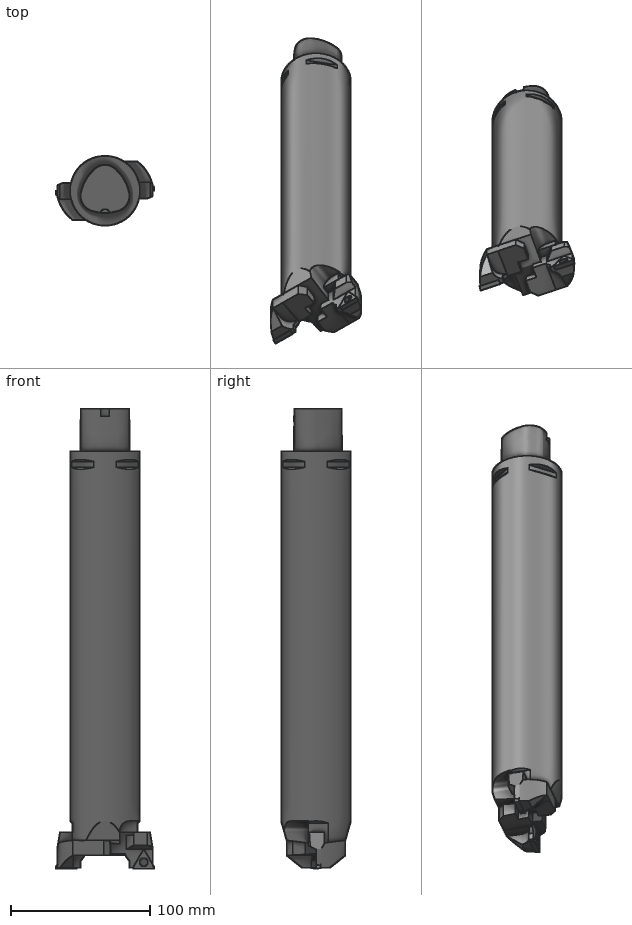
import cadquery as cq
import math

total_height = 330.0
overall_width = 71.0
shank_dia = 50.0
shoulder_z = 299.5
neck_top_z = 34.3
far = 66.0

flat_distance = 16.0
lobe_distance = 18.5
lobe_radius = 11.2
coupling_taper = 0.5
key_radius = 3.3
key_depth = 5.3
key_center_y = -16.5

groove_z = 290.0
groove_mouth = 7.0
groove_floor = 4.0
groove_depth = 2.5

joint_edge_z = 20.5
joint_middle_z = 17.8
relief_edge_y = 21.0

pocket_wall_x = 10.5
pocket_radius = 7.5
block_front_y = -5.5
block_back_y = 6.0
block_top_z = 26.5
seat_flat_x = 23.5
seat_back_y = 9.5

slide_edge_y = relief_edge_y
bar_edge_z = 9.5
bar_middle_z = 11.0
tongue_end_x = -3.5
tongue_front_y = 7.5
tongue_chamfer = 4.5
bar_end_x = 4.3
outer_corner_x = 23.0
outer_mid = (29.7, 14.2)
outer_end_x = 34.3
outer_end_y = 3.5
lip_bottom_z = 0.5
lip_inner_x = 17.5
lip_chamfer_x = 14.5
lip_chamfer_z = 5.5
lip_slope_y = 10.0
scoop_radius = 8.5
scoop_center = (14.2, 11.2)

block_inner_x = 20.5
block_foot_x = 15.2
block_front_z = 16.8
block_foot_z = 14.0
block_shelf_z = 24.0
block_top_end_x = 32.5
block_taper_z = 14.2
block_corner_x = 30.5
block_corner_y = 1.5

insert_side = 16.5
insert_nose = 0.8
insert_thickness = 3.3
insert_clearance = 7.0
insert_hole_dia = 6.0
insert_tip_x = overall_width / 2


def box(x0, x1, y0, y1, z0, z1):
    """Box between two opposite corners."""
    return cq.Workplane("XY").box(x1 - x0, y1 - y0, z1 - z0, centered=False).translate((x0, y0, z0))


def prism_along_y(points, y0, y1):
    """Prism with an XZ outline, running from y0 to y1."""
    return cq.Workplane("XZ", origin=(0, y1, 0)).polyline(points).close().extrude(y1 - y0)


def prism_along_x(points, x0, x1):
    """Prism with a YZ outline, running from x0 to x1."""
    return cq.Workplane("YZ", origin=(x0, 0, 0)).polyline(points).close().extrude(x1 - x0)


def half_turn(shape):
    return shape.rotate((0, 0, 0), (0, 0, 1), 180)


def polar(radius, degrees):
    angle = math.radians(degrees)
    return (radius * math.cos(angle), radius * math.sin(angle))


def coupling():
    """Rounded triangle of three broad and three tight arcs, all tangent."""
    lobe_offset = lobe_distance - lobe_radius
    reach = flat_distance - lobe_offset / 2
    half_span = lobe_offset * math.cos(math.radians(30))
    broad_radius = (half_span**2 + reach**2 - lobe_radius**2) / (2 * (reach - lobe_radius))
    half_angle = math.asin(half_span / (broad_radius - lobe_radius))
    seam_x = broad_radius * math.sin(half_angle)
    seam_y = broad_radius - flat_distance - broad_radius * math.cos(half_angle)
    seam_distance = math.hypot(seam_x, seam_y)
    seam_angle = math.degrees(math.atan2(seam_x, -seam_y))

    outline = cq.Workplane("XY", origin=(0, 0, total_height)).moveTo(*polar(seam_distance, -90 - seam_angle))
    for flat_angle in (-90, 30, 150):
        flat_end = polar(seam_distance, flat_angle + seam_angle)
        lobe_end = polar(seam_distance, flat_angle + 120 - seam_angle)
        outline = outline.threePointArc(polar(flat_distance, flat_angle), flat_end)
        outline = outline.threePointArc(polar(lobe_distance, flat_angle + 60), lobe_end)
    body = outline.close().extrude(shoulder_z - total_height, taper=-coupling_taper)

    key_slot = (
        cq.Workplane("XY", origin=(0, key_center_y, total_height - key_depth)).circle(key_radius).extrude(far)
    )
    return body.cut(key_slot)


def gripper_groove(angle):
    """Straight groove with sloping sides, cut across the shank at the given angle."""
    mouth_x = shank_dia / 2
    floor_x = mouth_x - groove_depth
    points = [
        (floor_x, groove_z - groove_floor / 2),
        (mouth_x, groove_z - groove_mouth / 2),
        (mouth_x, groove_z + groove_mouth / 2),
        (floor_x, groove_z + groove_floor / 2),
    ]
    return prism_along_y(points, -mouth_x, mouth_x).rotate((0, 0, 0), (0, 0, 1), angle)


def slide_seat():
    """Chip pocket, slot for the block and side flat for the slide on the +X side."""
    radius = shank_dia / 2
    chip_pocket = box(pocket_wall_x, far, -far, block_front_y, 0, neck_top_z)
    chip_pocket = chip_pocket.edges("|Y and <X and >Z").fillet(pocket_radius)
    block_slot = box(pocket_wall_x, far, block_front_y, block_back_y, 0, block_top_z)
    flat_depth = radius - seat_flat_x
    flat_outline = [
        (seat_flat_x, 0),
        (far, 0),
        (far, neck_top_z),
        (radius, neck_top_z),
        (seat_flat_x, neck_top_z - flat_depth),
    ]
    seat_flat = prism_along_y(flat_outline, block_front_y, seat_back_y)
    return chip_pocket.union(block_slot).union(seat_flat)


def neck_relief():
    """Sloping flat that thins the -Y side of the neck down to the slides."""
    radius = shank_dia / 2
    outline = [
        (-radius, neck_top_z),
        (-relief_edge_y, joint_edge_z),
        (-radius, joint_edge_z),
    ]
    return prism_along_x(outline, -radius, radius)


def make_shank():
    radius = shank_dia / 2
    slope = (joint_edge_z - joint_middle_z) / relief_edge_y
    rim_z = joint_middle_z + slope * radius
    outline = [
        (-radius, rim_z),
        (0, joint_middle_z),
        (radius, rim_z),
        (radius, shoulder_z),
        (-radius, shoulder_z),
    ]
    bar = cq.Workplane("XY").circle(radius).extrude(shoulder_z)
    bar = bar.intersect(prism_along_x(outline, -radius, radius))
    for cut in (slide_seat(), neck_relief()):
        bar = bar.cut(cut).cut(half_turn(cut))
    for angle in (45, 135, 225, 315):
        bar = bar.cut(gripper_groove(angle))
    return bar.union(coupling())


def insert_center():
    """X and Z of the hole, placed so that the outer corner and the lower edge meet the tip."""
    inradius = insert_side / (2 * math.sqrt(3))
    corner_loss = insert_nose * (math.sqrt(3) - 1)
    return (insert_tip_x - insert_side / 2 + corner_loss, inradius)


def insert_blank():
    """Triangle with rounded corners and one edge at z = 0, narrowing away from its face at y = 0."""
    center_x, inradius = insert_center()
    corners = [
        (center_x - insert_side / 2, 0),
        (center_x + insert_side / 2, 0),
        (center_x, 3 * inradius),
    ]
    outline = cq.Sketch().polygon(corners + corners[:1]).vertices().fillet(insert_nose)
    return cq.Workplane("XZ").placeSketch(outline).extrude(-insert_thickness, taper=insert_clearance)


def make_insert():
    center_x, center_z = insert_center()
    face_center = cq.Workplane("XZ", origin=(center_x, 0, center_z))
    hole = face_center.circle(insert_hole_dia / 2).extrude(-insert_thickness)
    return insert_blank().cut(hole)


def slide_plan(inner_end):
    """Upright prism on the slide's plan: the given inner end, then the curved outer end."""
    return (
        cq.Workplane("XY")
        .polyline(inner_end)
        .lineTo(outer_corner_x, slide_edge_y)
        .threePointArc(outer_mid, (outer_end_x, outer_end_y))
        .lineTo(outer_end_x, 0)
        .close()
        .extrude(block_top_z)
    )


def slide_bar():
    """Bar under the shank, whose top and bottom draw closer towards the middle plane."""
    profile = [
        (0, bar_middle_z),
        (slide_edge_y, bar_edge_z),
        (slide_edge_y, joint_edge_z),
        (0, joint_middle_z),
    ]
    tongue_start_y = slide_edge_y - tongue_chamfer
    inner_end = [
        (bar_end_x, 0),
        (bar_end_x, tongue_front_y),
        (tongue_end_x, tongue_front_y),
        (tongue_end_x, tongue_start_y),
        (tongue_end_x + tongue_chamfer, slide_edge_y),
    ]
    plan = slide_plan(inner_end)
    return plan.intersect(prism_along_x(profile, tongue_end_x, outer_end_x))


def slide_lip():
    """Lip below the bar that carries the insert, hollowed on its inner side."""
    plan = slide_plan([(lip_chamfer_x, 0), (lip_chamfer_x, slide_edge_y)])
    end_outline = [
        (lip_inner_x, lip_bottom_z),
        (far, lip_bottom_z),
        (far, block_foot_z),
        (lip_chamfer_x, block_foot_z),
        (lip_chamfer_x, bar_edge_z),
        (lip_inner_x, lip_chamfer_z),
    ]
    side_outline = [
        (0, lip_bottom_z),
        (lip_slope_y, lip_bottom_z),
        (slide_edge_y, bar_edge_z),
        (slide_edge_y, block_foot_z),
        (0, block_foot_z),
    ]
    scoop_x, scoop_y = scoop_center
    scoop = cq.Workplane("XY").center(scoop_x, scoop_y).circle(scoop_radius).extrude(bar_edge_z)
    scoop = scoop.union(box(0, scoop_x + scoop_radius, scoop_y, far, 0, bar_edge_z))
    lip = plan.intersect(prism_along_y(end_outline, 0, slide_edge_y))
    return lip.intersect(prism_along_x(side_outline, 0, far)).cut(scoop)


def slide_block():
    """Block above the bar; its front part stands forward over a sloping chip face."""
    back = box(pocket_wall_x, outer_end_x, 0, block_back_y, block_foot_z, block_top_z)
    back = back.intersect(slide_plan([(pocket_wall_x, 0), (pocket_wall_x, slide_edge_y)]))
    front_outline = [
        (0, block_foot_z),
        (block_front_y, block_front_z),
        (block_front_y, block_top_z),
        (0, block_top_z),
    ]
    front = prism_along_x(front_outline, block_foot_x, outer_end_x)
    side_wedge = (
        cq.Workplane("XY")
        .polyline([(block_foot_x, 0), (block_inner_x, block_front_y), (block_foot_x, block_front_y)])
        .close()
        .extrude(block_top_z)
    )
    shelf = box(block_foot_x, block_inner_x, block_front_y, 0, block_shelf_z, block_top_z)
    corner = (
        cq.Workplane("XY")
        .polyline([
            (block_corner_x, block_front_y),
            (outer_end_x, block_front_y),
            (outer_end_x, block_front_y + block_corner_y),
        ])
        .close()
        .extrude(block_top_z)
    )
    return back.union(front.cut(side_wedge).cut(shelf)).cut(corner)


def slide_end_taper():
    """Wedge that makes the outer end lean inwards towards the top."""
    outline = [(outer_end_x, block_taper_z), (outer_end_x, block_top_z), (block_top_end_x, block_top_z)]
    return prism_along_y(outline, block_front_y, slide_edge_y)


def make_slide():
    body = slide_bar().union(slide_lip()).union(slide_block())
    return body.cut(slide_end_taper()).cut(insert_blank())


shank = make_shank()
slides = []
inserts = []
for side_angle in (0, 180):
    slides.append(make_slide().rotate((0, 0, 0), (0, 0, 1), side_angle))
    inserts.append(make_insert().rotate((0, 0, 0), (0, 0, 1), side_angle))

result = cq.Compound.makeCompound([shank.val()] + [body.val() for body in slides + inserts])